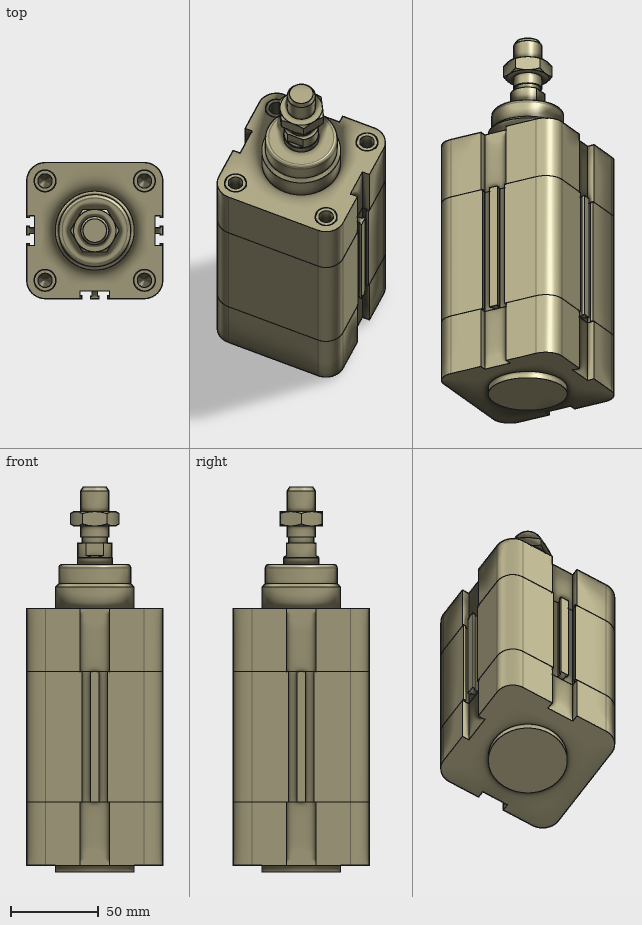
import cadquery as cq
import math


body_side = 77.5
body_corner_radius = 10.7
half_side = body_side / 2

total_height = 219.0
rear_boss_height = 4.0
cover_height = 36.0
body_top = 150.0
barrel_bottom = rear_boss_height + cover_height
barrel_top = body_top - cover_height
barrel_height = barrel_top - barrel_bottom

slot_width = 16.6
slot_depth = 4.4
lip_width = 0.99
lip_thickness = 1.8
rib_stem_width = 3.3
rib_head_width = 5.0
rib_head_thickness = 1.5
slot_angles = (-90, 0, 180)

hole_offset = 28.3
hole_diameter = 8.0
hole_depth = 16.0
hole_point_angle = 120
groove_outer_diameter = 12.5
groove_inner_diameter = 12.0
groove_depth = 1.0

boss_diameter = 45.0
boss_top = 164.0
boss_chamfer = 2.0
collar_diameter = 41.0
collar_top = 175.0
collar_rounding = 2.0

rod_diameter = 20.0
shank_diameter = 19.5
shank_bottom = 179.0
shank_top = 187.0
flats_width = 16.9
flats_bottom = 180.0
flat_runout = 0.9
neck_diameter = 14.5
neck_top = 190.5
thread_diameter = 16.0
tip_diameter = 13.4
tip_height = 2.2

nut_width = 24.0
nut_height = 8.0
nut_bottom = 196.9
nut_chamfer_angle = 30


def cylinder(diameter, bottom, top):
    """Round bar on the axis between two heights."""
    return cq.Workplane("XY").workplane(offset=bottom).circle(diameter / 2).extrude(top - bottom)


def block(bottom, height):
    """Square length of the body with rounded corners along the axis."""
    plain = cq.Workplane("XY").workplane(offset=bottom).rect(body_side, body_side).extrude(height)
    return plain.edges("|Z").fillet(body_corner_radius)


def slot_rectangle(inner_x, outer_x, y_start, y_end):
    """Bar of rectangular section running the full height."""
    return (
        cq.Workplane("XY")
        .center((inner_x + outer_x) / 2, (y_start + y_end) / 2)
        .rect(outer_x - inner_x, y_end - y_start)
        .extrude(total_height)
    )


def open_slot():
    """Plain rectangular slot in the +X side."""
    return slot_rectangle(half_side - slot_depth, half_side, -slot_width / 2, slot_width / 2)


def ribbed_slot():
    """Slot in the +X side with a lip at each edge of its mouth and a T-shaped rib in its middle."""
    slot = open_slot()
    lip_x = half_side - lip_thickness
    head_x = half_side - rib_head_thickness
    mouth_half = slot_width / 2 - lip_width
    upper_lip = slot_rectangle(lip_x, half_side, mouth_half, slot_width / 2)
    lower_lip = slot_rectangle(lip_x, half_side, -slot_width / 2, -mouth_half)
    stem = slot_rectangle(half_side - slot_depth, half_side, -rib_stem_width / 2, rib_stem_width / 2)
    head = slot_rectangle(head_x, half_side, -rib_head_width / 2, rib_head_width / 2)
    return slot.cut(upper_lip).cut(lower_lip).cut(stem).cut(head)


def cut_slots(body, slot):
    """Cut a +X side slot along the whole body on each slotted side."""
    for angle in slot_angles:
        body = body.cut(slot.rotate((0, 0, 0), (0, 0, 1), angle))
    return body


def screw_holes():
    """Blind holes with drill points and ring grooves, one in each corner of the front cover's face."""
    radius = hole_diameter / 2
    point_height = radius / math.tan(math.radians(hole_point_angle / 2))
    hole = (
        cq.Workplane("XZ")
        .moveTo(0, body_top)
        .lineTo(radius, body_top)
        .lineTo(radius, body_top - hole_depth)
        .lineTo(0, body_top - hole_depth - point_height)
        .close()
        .revolve(360, (0, 0, 0), (0, 1, 0))
    )
    groove_bottom = body_top - groove_depth
    groove = cylinder(groove_outer_diameter, groove_bottom, body_top).cut(
        cylinder(groove_inner_diameter, groove_bottom, body_top)
    )
    hole = hole.add(groove).combine()
    corners = [(x, y) for x in (-hole_offset, hole_offset) for y in (-hole_offset, hole_offset)]
    return [hole.translate((x, y, 0)) for x, y in corners]


def make_front_cover():
    """Slotted cover with screw holes, and a stepped boss below the rod."""
    cover = cut_slots(block(barrel_top, cover_height), open_slot())
    for hole in screw_holes():
        cover = cover.cut(hole)
    boss = cylinder(boss_diameter, body_top, boss_top).faces(">Z").chamfer(boss_chamfer)
    collar = cylinder(collar_diameter, body_top, collar_top).faces(">Z").edges().fillet(collar_rounding)
    return cover.union(boss).union(collar)


def make_barrel():
    """Solid length of the body with ribbed slots."""
    return cut_slots(block(barrel_bottom, barrel_height), ribbed_slot())


def make_rear_cover():
    """Slotted cover on a round boss."""
    cover = cut_slots(block(rear_boss_height, cover_height), open_slot())
    return cover.union(cylinder(boss_diameter, 0, rear_boss_height))


def make_rod():
    """Rod standing on the collar: two-flat shank, neck and plain thread with a chamfered tip."""
    base = cylinder(rod_diameter, collar_top, shank_bottom)
    base = base.faces(">Z").chamfer((rod_diameter - shank_diameter) / 2)
    shank = cylinder(shank_diameter, shank_bottom, shank_top)
    neck = cylinder(neck_diameter, shank_top, neck_top)
    thread = cylinder(thread_diameter, neck_top, total_height)
    tip_inset = (thread_diameter - tip_diameter) / 2
    thread = thread.faces(">Z").chamfer(tip_height, tip_inset)
    return base.union(shank.cut(wrench_flats())).union(neck).union(thread)


def wrench_flats():
    """Two opposite cuts facing -Y and +Y whose lower ends slope outward and down."""
    inner_y = flats_width / 2
    outer_y = shank_diameter / 2
    cut = (
        cq.Workplane("YZ")
        .polyline(
            [
                (inner_y, shank_top),
                (inner_y, flats_bottom),
                (outer_y, flats_bottom - flat_runout),
                (outer_y, shank_top),
            ]
        )
        .close()
        .extrude(shank_diameter / 2, both=True)
    )
    return cut.union(cut.mirror("XZ"))


def make_nut():
    """Hexagon nut with conical chamfers on both faces and a clear bore for the thread."""
    corner_radius = nut_width / math.sqrt(3)
    nut_top = nut_bottom + nut_height
    chamfer_width = corner_radius - nut_width / 2
    chamfer_height = chamfer_width * math.tan(math.radians(nut_chamfer_angle))
    hexagon = (
        cq.Workplane("XY").workplane(offset=nut_bottom).polygon(6, 2 * corner_radius).extrude(nut_height)
    )
    envelope = cylinder(2 * corner_radius, nut_bottom, nut_top)
    envelope = envelope.faces("<Z or >Z").chamfer(chamfer_height, chamfer_width)
    return hexagon.intersect(envelope).cut(cylinder(thread_diameter, nut_bottom, nut_top))


front_cover = make_front_cover()
barrel = make_barrel()
rear_cover = make_rear_cover()
rod = make_rod()
nut = make_nut()

result = cq.Compound.makeCompound(
    [body.solids().val() for body in (front_cover, barrel, rear_cover, rod, nut)]
)